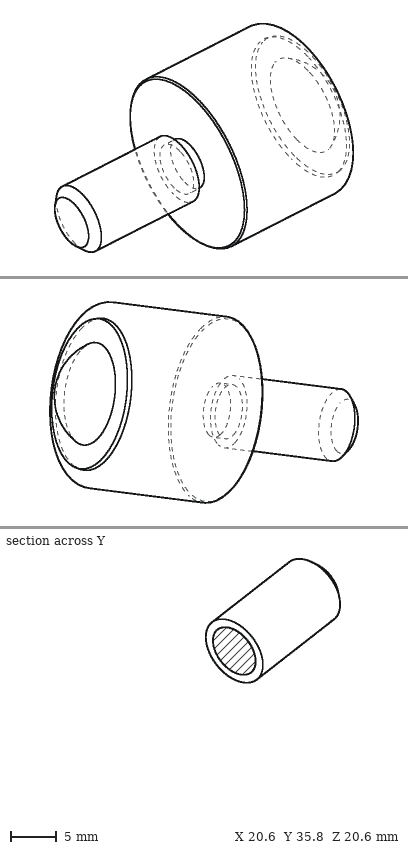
import cadquery as cq
import math


housing_radius = 20.6 / 2
housing_length = 15.6
housing_top_fillet = 1.0
housing_base_chamfer = 0.2

lip_base_radius = 8.4
lip_top_radius = 8.3
lip_height = 0.5

ball_radius = 12.7 / 2
overall_length = 35.79

stud_radius = 8.0 / 2
stud_length = 16.2
stud_tip_chamfer = 1.0
neck_radius = 6.0 / 2
neck_length = 1.5

lip_top = housing_length + lip_height
ball_top = overall_length - stud_length
ball_center = ball_top - ball_radius
fillet_start = housing_length - housing_top_fillet

ball_exit_radius = math.sqrt(ball_radius**2 - (lip_top - ball_center) ** 2)

ball_mid_angle = math.atan2(ball_exit_radius, lip_top - ball_center) / 2
ball_arc_mid = (
    ball_radius * math.sin(ball_mid_angle),
    ball_center + ball_radius * math.cos(ball_mid_angle),
)
fillet_mid_offset = housing_top_fillet * math.sin(math.pi / 4)
fillet_arc_mid = (
    housing_radius - housing_top_fillet + fillet_mid_offset,
    fillet_start + fillet_mid_offset,
)


def half_profile():
    """Closed half section from the stud tip up to the crown of the ball."""
    profile = cq.Workplane("XY").moveTo(0, -stud_length)

    profile = (
        profile.lineTo(stud_radius - stud_tip_chamfer, -stud_length)
        .lineTo(stud_radius, -stud_length + stud_tip_chamfer)
        .lineTo(stud_radius, -neck_length)
        .lineTo(neck_radius, -neck_length)
        .lineTo(neck_radius, 0)
    )

    profile = (
        profile.lineTo(housing_radius - housing_base_chamfer, 0)
        .lineTo(housing_radius, housing_base_chamfer)
        .lineTo(housing_radius, fillet_start)
        .threePointArc(fillet_arc_mid, (housing_radius - housing_top_fillet, housing_length))
    )

    return (
        profile.lineTo(lip_base_radius, housing_length)
        .lineTo(lip_top_radius, lip_top)
        .lineTo(ball_exit_radius, lip_top)
        .threePointArc(ball_arc_mid, (0, ball_top))
        .close()
    )


result = half_profile().revolve(360, (0, 0, 0), (0, 1, 0))